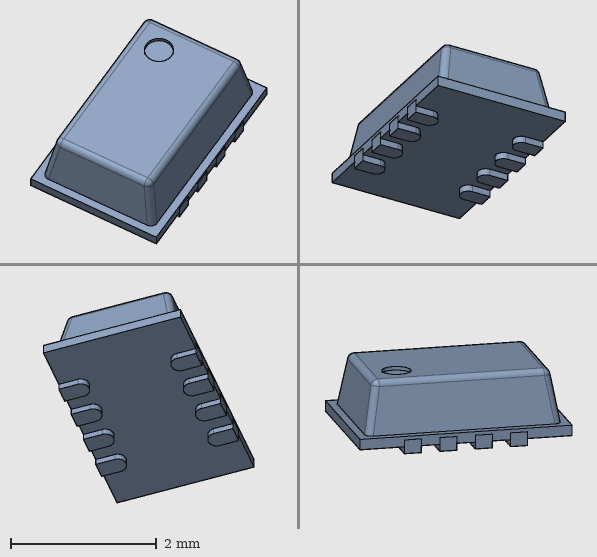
import cadquery as cq
import math

board_length = 3.0
board_width = 2.0
total_height = 1.0

board_thickness = 0.15
cap_margin = 0.117
cap_draft = 10.0
cap_fillet = 0.1

marker_diameter = 0.4
marker_depth = 0.05
marker_x = -0.318
marker_y = 0.82

pads_per_row = 4
pad_pitch = 0.5
pad_length = 0.4
pad_width = 0.24
pad_projection = 0.1
pad_embedding = 0.1

pad_height = pad_projection + pad_embedding
board_bottom = pad_projection
board_top = board_bottom + board_thickness
cap_height = total_height - board_top


def make_board():
    return (
        cq.Workplane("XY")
        .workplane(offset=board_bottom)
        .rect(board_width, board_length)
        .extrude(board_thickness)
    )


def make_cap():
    foot_width = board_width - 2 * cap_margin
    foot_length = board_length - 2 * cap_margin
    inset = cap_height * math.tan(math.radians(cap_draft))
    cap = (
        cq.Workplane("XY")
        .workplane(offset=board_top)
        .rect(foot_width, foot_length)
        .workplane(offset=cap_height)
        .rect(foot_width - 2 * inset, foot_length - 2 * inset)
        .loft(ruled=True)
    )
    upright_and_top_edges = cap.edges("not(<Z)")
    return upright_and_top_edges.fillet(cap_fillet)


def make_marker_recess():
    return (
        cq.Workplane("XY")
        .workplane(offset=total_height - marker_depth)
        .center(marker_x, marker_y)
        .circle(marker_diameter / 2)
        .extrude(marker_depth)
    )


def make_pad(side, y):
    """Pad flush with the board edge on one side (-1 or +1), its inner end a half circle."""
    outer_x = side * board_width / 2
    inner_x = outer_x - side * pad_length
    arc_start_x = inner_x + side * pad_width / 2
    return (
        cq.Workplane("XY")
        .moveTo(outer_x, y - pad_width / 2)
        .lineTo(arc_start_x, y - pad_width / 2)
        .threePointArc((inner_x, y), (arc_start_x, y + pad_width / 2))
        .lineTo(outer_x, y + pad_width / 2)
        .close()
        .extrude(pad_height)
    )


def make_pads():
    first_y = -pad_pitch * (pads_per_row - 1) / 2
    return [
        make_pad(side, first_y + index * pad_pitch)
        for side in (-1, 1)
        for index in range(pads_per_row)
    ]


def make_housing(pads):
    """Board and cap in one piece, with the marker and a matching recess for every pad."""
    housing = make_board().union(make_cap()).cut(make_marker_recess())
    for pad in pads:
        housing = housing.cut(pad)
    return housing.solids().val()


pads = make_pads()
housing = make_housing(pads)

result = cq.Compound.makeCompound([housing, *[pad.val() for pad in pads]])